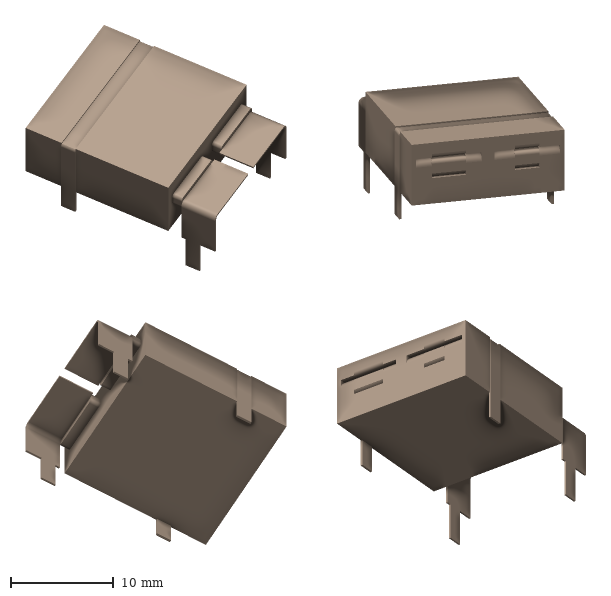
import cadquery as cq
import math

TOTAL_LENGTH = 20.8

BODY_LENGTH = 15.95
BODY_WIDTH = 15.52
BODY_HEIGHT = 6.28

STRAP_X = 4.01
STRAP_WIDTH = 1.58
STRAP_THICKNESS = 0.23
STRAP_SPAN = 15.7
GROOVE_DEPTH = 0.15
STRAP_SHOULDER = 5.82
STRAP_BEND_RADIUS = 0.4
STRAP_LEG_DROP = 2.79

PORT_Y = 3.97
DOOR_WIDTH = 6.65
DOOR_RADIUS = 0.83
DOOR_TOP = 4.7
RECESS_TOP = 4.76

WIDE_CLIP = 3.5
NARROW_CLIP = 2.5
LIP_RADIUS = 0.37
MOUTH_BOTTOM = 4.47
NOTCH_FLOOR = 2.65
NOTCH_SIZE = 0.45

BAR_LENGTH = 1.06
BAR_INNER_Y = 0.87
BAR_OUTER_Y = 6.95
BAR_BOTTOM = 3.1
BAR_TOP = 4.45
BAR_RADIUS = 0.37
TAB_X = BODY_LENGTH + BAR_LENGTH
TAB_INNER_Y = 0.5
TAB_OUTER_Y = 7.05
TAB_TOP = 3.97
TAB_BOTTOM = -1.05
TAB_THICKNESS = 0.19
TAB_BEND_RADIUS = 0.6
LEG_OFFSET = 0.48
LEG_WIDTH = 1.58
LEG_BOTTOM = -4.83


def box(x_range, y_range, z_range):
    """Box between the given limits along each axis."""
    lows, highs = zip(x_range, y_range, z_range)
    size = [high - low for low, high in zip(lows, highs)]
    return cq.Workplane("XY").box(*size, centered=False).translate(lows)


def extrude_across(profile, y_range):
    """Extrude a closed XZ outline between two Y positions."""
    low, high = y_range
    return profile.extrude(low - high).translate((0, low, 0))


def quarter_arc(sketch, centre, radius, mid_angle, end_angle):
    """Add an arc about centre through mid_angle to end_angle (degrees)."""
    points = []
    for angle in (mid_angle, end_angle):
        turn = math.radians(angle)
        points.append((centre[0] + radius * math.cos(turn), centre[1] + radius * math.sin(turn)))
    return sketch.threePointArc(*points)


def housing():
    """Plain block, split where the strap wraps around it."""
    half_width = BODY_WIDTH / 2
    front = box((0, STRAP_X), (-half_width, half_width), (0, BODY_HEIGHT))
    rear = box((STRAP_X + STRAP_WIDTH, BODY_LENGTH), (-half_width, half_width), (0, BODY_HEIGHT))
    return front.union(rear).union(strapped_section())


def strapped_section():
    """Strap and the housing it encloses; rolled shoulders are trimmed flat by the top groove."""
    x_range = (STRAP_X, STRAP_X + STRAP_WIDTH)
    half_span = STRAP_SPAN / 2
    inner_half = half_span - STRAP_THICKNESS
    crown = STRAP_SHOULDER + STRAP_BEND_RADIUS
    section = box(x_range, (-half_span, half_span), (-STRAP_LEG_DROP, crown))
    section = section.edges("|X and >Z").fillet(STRAP_BEND_RADIUS)
    groove = box(x_range, (-half_span, half_span), (BODY_HEIGHT - GROOVE_DEPTH, BODY_HEIGHT))
    leg_gap = box(x_range, (-inner_half, inner_half), (-STRAP_LEG_DROP, 0))
    return section.cut(groove).cut(leg_gap)


def door_recess(y_range):
    """Opening above the rounded top edge of a port door."""
    centre = (DOOR_RADIUS, DOOR_TOP - DOOR_RADIUS)
    profile = (
        cq.Workplane("XZ")
        .moveTo(0, centre[1])
        .lineTo(0, RECESS_TOP)
        .lineTo(DOOR_RADIUS, RECESS_TOP)
        .lineTo(DOOR_RADIUS, DOOR_TOP)
    )
    return extrude_across(quarter_arc(profile, centre, DOOR_RADIUS, 135, 180).close(), y_range)


def clip_mouth(y_range):
    """Slit that flares out between two rounded lips."""
    upper = (LIP_RADIUS, RECESS_TOP + LIP_RADIUS)
    lower = (LIP_RADIUS, MOUTH_BOTTOM - LIP_RADIUS)
    profile = cq.Workplane("XZ").moveTo(0, upper[1])
    profile = quarter_arc(profile, upper, LIP_RADIUS, 225, 270)
    profile = profile.lineTo(DOOR_RADIUS, RECESS_TOP).lineTo(DOOR_RADIUS, MOUTH_BOTTOM)
    profile = profile.lineTo(LIP_RADIUS, MOUTH_BOTTOM)
    profile = quarter_arc(profile, lower, LIP_RADIUS, 135, 180)
    return extrude_across(profile.close(), y_range)


def clip_notch(y_range):
    """Wedge below the clip: flat floor and a 45 degree roof."""
    corners = [(0, NOTCH_FLOOR), (NOTCH_SIZE, NOTCH_FLOOR), (0, NOTCH_FLOOR + NOTCH_SIZE)]
    return extrude_across(cq.Workplane("XZ").polyline(corners).close(), y_range)


def port_cuts(port_y, clip_width):
    """All openings of one port: clip mouth and notch, with door recesses either side."""
    door_low, door_high = port_y - DOOR_WIDTH / 2, port_y + DOOR_WIDTH / 2
    clip_low, clip_high = port_y - clip_width / 2, port_y + clip_width / 2
    cuts = clip_mouth((clip_low, clip_high)).union(clip_notch((clip_low, clip_high)))
    for y_range in ((door_low, clip_low), (clip_high, door_high)):
        cuts = cuts.union(door_recess(y_range))
    return cuts


def contact():
    """Rear contact on the +Y side."""
    bar = box((BODY_LENGTH, TAB_X), (BAR_INNER_Y, BAR_OUTER_Y), (BAR_BOTTOM, BAR_TOP))
    bar = bar.edges("|X").fillet(BAR_RADIUS)

    tab_x = (TAB_X, TOTAL_LENGTH)
    side_y = (TAB_OUTER_Y - TAB_THICKNESS, TAB_OUTER_Y)
    tab = box(tab_x, (TAB_INNER_Y, TAB_OUTER_Y), (TAB_BOTTOM, TAB_TOP))
    tab = tab.edges("|X and >Y and >Z").fillet(TAB_BEND_RADIUS)
    hollow = box(tab_x, (TAB_INNER_Y, side_y[0]), (TAB_BOTTOM, TAB_TOP - TAB_THICKNESS))
    hollow = hollow.edges("|X and >Y and >Z").fillet(TAB_BEND_RADIUS - TAB_THICKNESS)

    leg_x = TAB_X + LEG_OFFSET
    leg = box((leg_x, leg_x + LEG_WIDTH), side_y, (LEG_BOTTOM, TAB_BOTTOM))
    return bar.union(tab.cut(hollow)).union(leg)


result = housing().cut(port_cuts(PORT_Y, WIDE_CLIP)).cut(port_cuts(-PORT_Y, NARROW_CLIP))
result = result.union(contact()).union(contact().mirror("XZ"))